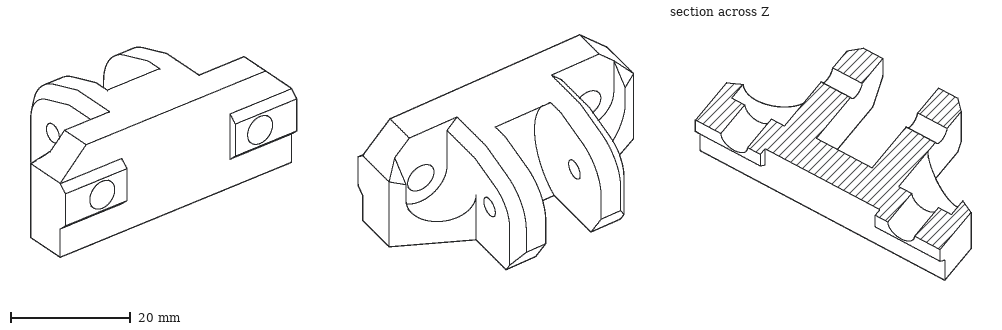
import cadquery as cq
import math

length = 28.1
width = 49.0
height = 20.0
half_width = width / 2

pad_thickness = 1.4
plate_back = length - pad_thickness
plate_front = 20.82
corner_chamfer = 5.5
pad_base_height = 8.85
pad_outer_height = 6.25

lug_half_width = 11.45
slot_width = 11.05
slot_radius = 12.0
lug_chamfer = 2.0
hinge_radius = 8.05
hinge_x = hinge_radius
hinge_z = 10.35
pin_diameter = 3.5
lug_top_start = 12.1
toe_length = 3.1
toe_height = 5.2

wing_outer_x = 18.65
pocket_radius = 5.25
screw_y = lug_half_width + pocket_radius
screw_z = height / 2
screw_diameter = 5.3
wing_bevel_drop = 0.95


def block(x0, x1, y0, y1, z0, z1):
    return cq.Workplane("XY").box(x1 - x0, y1 - y0, z1 - z0, centered=False).translate((x0, y0, z0))


def hinge_cylinder(radius, cylinder_width):
    """Cylinder along Y on the hinge axis, centred on Y = 0."""
    section = cq.Workplane("XZ").center(hinge_x, hinge_z).circle(radius)
    return section.extrude(cylinder_width / 2, both=True)


def rounded_point(angle):
    return hinge_x + hinge_radius * math.cos(angle), hinge_z + hinge_radius * math.sin(angle)


def make_lugs():
    run = lug_top_start - hinge_x
    rise = height - hinge_z
    tangent_angle = math.atan2(rise, run) + math.acos(hinge_radius / math.hypot(run, rise))
    profile = (
        cq.Workplane("XZ")
        .moveTo(toe_length, 0)
        .lineTo(0, toe_height)
        .lineTo(0, hinge_z)
        .threePointArc(rounded_point((tangent_angle + math.pi) / 2), rounded_point(tangent_angle))
        .lineTo(lug_top_start, height)
        .lineTo(plate_front, height)
        .lineTo(plate_front, 0)
        .close()
    )
    lugs = profile.extrude(lug_half_width, both=True)

    rim_points = [
        (0, (toe_height + hinge_z) / 2),
        rounded_point((tangent_angle + math.pi) / 2),
        ((rounded_point(tangent_angle)[0] + lug_top_start) / 2,
         (rounded_point(tangent_angle)[1] + height) / 2),
        ((lug_top_start + plate_front) / 2, height),
    ]
    rim_edges = []
    for y in (-lug_half_width, lug_half_width):
        for x, z in rim_points:
            rim_edges += lugs.edges(cq.selectors.NearestToPointSelector((x, y, z))).vals()
    return lugs.newObject(rim_edges).chamfer(lug_chamfer)


def make_wing_bevel_cutter():
    """Block on the sloping plane that trims the wing tip between the pocket and the end corner."""
    tip = cq.Vector(wing_outer_x, half_width, height - corner_chamfer)
    pocket_edge_y = screw_y + pocket_radius
    inset = half_width - pocket_edge_y
    wing_slope = (wing_outer_x - lug_top_start) / (half_width - lug_half_width)
    wing_point = cq.Vector(wing_outer_x - inset * wing_slope, pocket_edge_y, tip.z - wing_bevel_drop)
    plate_point = cq.Vector(plate_front, pocket_edge_y, tip.z + inset)
    across = plate_point - wing_point
    bevel_plane = cq.Plane(origin=tip, xDir=across, normal=across.cross(tip - wing_point))
    return cq.Workplane(bevel_plane).rect(2 * corner_chamfer, 2 * corner_chamfer).extrude(corner_chamfer)


def make_wing():
    """Wing on the +Y side, with a round-bottomed pocket open at the top."""
    wing = (
        cq.Workplane("XY")
        .polyline([
            (lug_top_start, lug_half_width),
            (wing_outer_x, half_width),
            (plate_front, half_width),
            (plate_front, lug_half_width),
        ])
        .close()
        .extrude(height)
    )
    pocket_bottom = cq.Workplane("YZ").center(screw_y, screw_z).circle(pocket_radius).extrude(plate_front)
    pocket_top = block(0, plate_front, screw_y - pocket_radius, screw_y + pocket_radius, screw_z, height)
    return wing.cut(pocket_bottom).cut(pocket_top).cut(make_wing_bevel_cutter())


def make_pad():
    """Raised pad on the back of the +Y side, bevelled above and below."""
    base = pad_base_height / 2
    outer = pad_outer_height / 2
    profile = cq.Workplane("XZ", origin=(plate_back, half_width, screw_z)).polyline([
        (0, -base), (pad_thickness, -outer), (pad_thickness, outer), (0, base),
    ])
    return profile.close().extrude(half_width - lug_half_width)


def make_corner_cutter():
    """Triangular bar that bevels the upper +Y corner."""
    return (
        cq.Workplane("YZ")
        .polyline([
            (half_width - corner_chamfer, height),
            (half_width, height),
            (half_width, height - corner_chamfer),
        ])
        .close()
        .extrude(plate_back)
    )


def both_sides(shape):
    return shape.union(shape.mirror("XZ"))


plate = block(plate_front, plate_back, -half_width, half_width, 0, height)
body = plate.union(make_lugs()).union(both_sides(make_wing()))
body = body.cut(both_sides(make_corner_cutter())).union(both_sides(make_pad()))

body = body.cut(hinge_cylinder(slot_radius, slot_width))
body = body.cut(block(0, hinge_x, -slot_width / 2, slot_width / 2, 0, height))

pin_hole = hinge_cylinder(pin_diameter / 2, 2 * lug_half_width)
screw_hole = cq.Workplane("YZ").center(screw_y, screw_z).circle(screw_diameter / 2).extrude(length)
result = body.cut(pin_hole).cut(both_sides(screw_hole))